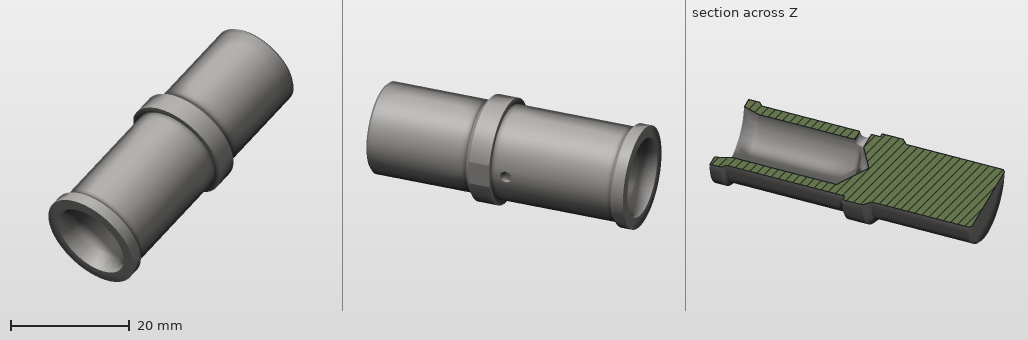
import cadquery as cq
import math

length = 47.0

flange_radius = 9.0
flange_width = 2.0
flange_chamfer_length = 0.7
body_radius = 8.22
collar_radius = 9.25
collar_start = 24.15
collar_width = 3.65
spigot_radius = 8.0
end_chamfer = 0.45
collar_chamfer_length = 1.15
collar_flat_distance = 9.02

mouth_radius = 6.9
bore_radius = 5.88
mouth_depth = 3.0
bore_depth = 21.75
drill_point_angle = 118.0
drill_tip_length = bore_radius / math.tan(math.radians(drill_point_angle / 2))

cross_hole_diameter = 2.0
cross_hole_y = 21.53


def revolve_about_y(points):
    """Revolve a closed (radius, Y) outline about the part axis."""
    return cq.Workplane("XY").polyline(points).close().revolve(360, (0, 0, 0), (0, 1, 0))


def make_outside():
    collar_end = collar_start + collar_width
    return revolve_about_y([
        (0, 0),
        (flange_radius, 0),
        (flange_radius, flange_width),
        (body_radius, flange_width + flange_chamfer_length),
        (body_radius, collar_start),
        (collar_radius, collar_start),
        (collar_radius, collar_end),
        (spigot_radius, collar_end + collar_chamfer_length),
        (spigot_radius, length - end_chamfer),
        (spigot_radius - end_chamfer, length),
        (0, length),
    ])


def make_bore():
    """Tapered mouth, straight bore and conical drill point."""
    return revolve_about_y([
        (0, 0),
        (mouth_radius, 0),
        (bore_radius, mouth_depth),
        (bore_radius, bore_depth),
        (0, bore_depth + drill_tip_length),
    ])


def make_collar_flat():
    """Block outside the flat on the -X side of the collar."""
    return cq.Workplane("XY").box(
        collar_radius, length, 2 * collar_radius, centered=(True, False, True)
    ).translate((-collar_flat_distance - collar_radius / 2, 0, 0))


def make_cross_hole():
    """Radial hole from outside the -X wall to the axis."""
    return (
        cq.Workplane("YZ")
        .center(cross_hole_y, 0)
        .circle(cross_hole_diameter / 2)
        .extrude(-collar_radius)
    )


result = make_outside().cut(make_collar_flat()).cut(make_bore()).cut(make_cross_hole())